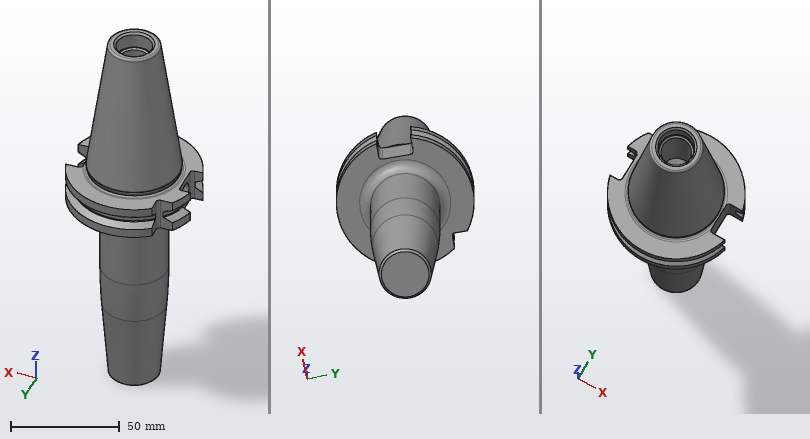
import cadquery as cq
import math


gauge_radius = 44.45 / 2
taper_length = 68.4
taper_slope = 7 / 24 / 2
taper_tip_radius = gauge_radius - taper_slope * taper_length
tip_fillet = 1.1

gauge_land = 0.5
neck_radius = 22.1
relief_start = -1.6
relief_depth_radial = 0.25
relief_depth_axial = 0.15
relief_fillet = 0.8
relief_outer_radius = 23.6

flange_radius = 63.55 / 2
flange_top = -3.2
flange_bottom = -19.1
groove_center = -11.1
groove_floor_radius = 56.25 / 2
groove_half_angle = math.radians(30)
groove_fillet = 0.5
gauge_pin_radius = 3.5
gauge_pin_span = 72.3

nose_length = 120.0
body_radius = 16.0
body_fillet = 5.0
nose_tip_radius = 12.0
nose_angle = math.radians(4.5)
nose_blend_radius = 275.0
nose_end_chamfer = 1.0

slot_width = 16.1
slot_floor_left = 25.0
slot_floor_right = 22.8
slot_corner_fillet = 1.6
notch_x = -18.5
notch_y = 18.5

recess_diameter = 10.0
recess_depth = 4.0
center_mark_diameter = 0.6
center_mark_depth = 0.3

pilot_radius = 8.5
pilot_depth = 8.0
mouth_chamfer = 1.0
thread_core_radius = 7.0
thread_mouth_radius = 8.0
thread_mouth_half_angle = math.radians(60)
thread_depth = 40.0
drill_half_angle = math.radians(59)


def groove_half_width(radius):
    """Half the axial width of the V groove at a given radius."""
    pin_center_radius = gauge_pin_span / 2 - gauge_pin_radius
    half_width_at_pin = gauge_pin_radius / math.cos(groove_half_angle)
    return half_width_at_pin - (pin_center_radius - radius) * math.tan(groove_half_angle)


def turned_body():
    """Revolved taper, flange and nose."""
    rim_half = groove_half_width(flange_radius)
    floor_half = groove_half_width(groove_floor_radius)

    corner_tangent = groove_fillet * math.tan((math.pi / 2 - groove_half_angle) / 2)
    wall_end_radius = groove_floor_radius + corner_tangent * math.cos(groove_half_angle)
    wall_end_half = floor_half + corner_tangent * math.sin(groove_half_angle)
    floor_end_half = floor_half - corner_tangent

    relief_radius = neck_radius - relief_depth_radial
    relief_floor = flange_top - relief_depth_axial

    flank_angle = math.atan(taper_slope)
    tip_tangent = tip_fillet * math.tan((math.pi / 2 - flank_angle) / 2)
    tip_flank_radius = taper_tip_radius + tip_tangent * math.sin(flank_angle)
    tip_flank_z = taper_length - tip_tangent * math.cos(flank_angle)

    nose_bottom = -nose_length
    corner_z = nose_bottom + (body_radius - nose_tip_radius) / math.tan(nose_angle)
    blend_tangent = nose_blend_radius * math.tan(nose_angle / 2)
    blend_end_radius = body_radius - blend_tangent * math.sin(nose_angle)
    blend_end_z = corner_z - blend_tangent * math.cos(nose_angle)
    chamfer_radius = nose_tip_radius + nose_end_chamfer * math.tan(nose_angle)

    profile = (
        cq.Workplane("XZ")
        .moveTo(0, taper_length)
        .lineTo(taper_tip_radius - tip_tangent, taper_length)
        .radiusArc((tip_flank_radius, tip_flank_z), tip_fillet)
        .lineTo(gauge_radius, 0)
        .lineTo(gauge_radius, -gauge_land)
        .lineTo(neck_radius, -gauge_land)
        .lineTo(neck_radius, relief_start)
        .lineTo(relief_radius, relief_floor + relief_fillet)
        .radiusArc((relief_radius + relief_fillet, relief_floor), -relief_fillet)
        .lineTo(relief_outer_radius, flange_top)
        .lineTo(flange_radius, flange_top)
        .lineTo(flange_radius, groove_center + rim_half)
        .lineTo(wall_end_radius, groove_center + wall_end_half)
        .radiusArc((groove_floor_radius, groove_center + floor_end_half), -groove_fillet)
        .lineTo(groove_floor_radius, groove_center - floor_end_half)
        .radiusArc((wall_end_radius, groove_center - wall_end_half), -groove_fillet)
        .lineTo(flange_radius, groove_center - rim_half)
        .lineTo(flange_radius, flange_bottom)
        .lineTo(body_radius + body_fillet, flange_bottom)
        .radiusArc((body_radius, flange_bottom - body_fillet), -body_fillet)
        .lineTo(body_radius, corner_z + blend_tangent)
        .radiusArc((blend_end_radius, blend_end_z), nose_blend_radius)
        .lineTo(chamfer_radius, nose_bottom + nose_end_chamfer)
        .lineTo(nose_tip_radius - nose_end_chamfer, nose_bottom)
        .lineTo(0, nose_bottom)
        .close()
    )
    return profile.revolve(360, (0, 0, 0), (0, 1, 0))


def pull_stud_bore():
    """Stepped blind bore from the taper tip, with a drill-point end."""
    pilot_floor = taper_length - pilot_depth
    mouth_depth = (thread_mouth_radius - thread_core_radius) / math.tan(thread_mouth_half_angle)
    thread_end = taper_length - thread_depth
    drill_point = thread_end - thread_core_radius / math.tan(drill_half_angle)
    profile = (
        cq.Workplane("XZ")
        .moveTo(0, taper_length)
        .lineTo(pilot_radius + mouth_chamfer, taper_length)
        .lineTo(pilot_radius, taper_length - mouth_chamfer)
        .lineTo(pilot_radius, pilot_floor)
        .lineTo(thread_mouth_radius, pilot_floor)
        .lineTo(thread_core_radius, pilot_floor - mouth_depth)
        .lineTo(thread_core_radius, thread_end)
        .lineTo(0, drill_point)
        .close()
    )
    return profile.revolve(360, (0, 0, 0), (0, 1, 0))


def flange_cutter(x_inner, x_outer, y_low, y_high):
    """Block as tall as the flange, between the given X and Y limits."""
    return (
        cq.Workplane("XY", origin=(0, 0, flange_bottom))
        .moveTo(x_inner, y_low)
        .lineTo(x_outer, y_low)
        .lineTo(x_outer, y_high)
        .lineTo(x_inner, y_high)
        .close()
        .extrude(flange_top - flange_bottom)
    )


def drive_slot(side, floor):
    """Drive slot on the +X (side = 1) or -X (side = -1) rim, with filleted floor corners."""
    cutter = flange_cutter(side * floor, side * flange_radius, -slot_width / 2, slot_width / 2)
    floor_corners = "|Z and <X" if side > 0 else "|Z and >X"
    return cutter.edges(floor_corners).fillet(slot_corner_fillet)


def orientation_notch():
    """Corner notch in the -X +Y rim, with a filleted inner corner."""
    cutter = flange_cutter(notch_x, -flange_radius, notch_y, flange_radius)
    return cutter.edges("|Z and >X and <Y").fillet(slot_corner_fillet)


def slot_recess():
    """Blind round recess in the floor of the -X slot, with a small center mark at its bottom."""
    recess = (
        cq.Workplane("YZ", origin=(-slot_floor_left, 0, groove_center))
        .circle(recess_diameter / 2)
        .extrude(recess_depth)
    )
    center_mark = (
        cq.Workplane("YZ", origin=(-slot_floor_left, 0, groove_center))
        .circle(center_mark_diameter / 2)
        .extrude(recess_depth + center_mark_depth)
    )
    return recess.union(center_mark)


result = (
    turned_body()
    .cut(pull_stud_bore())
    .cut(drive_slot(1, slot_floor_right))
    .cut(drive_slot(-1, slot_floor_left))
    .cut(orientation_notch())
    .cut(slot_recess())
)